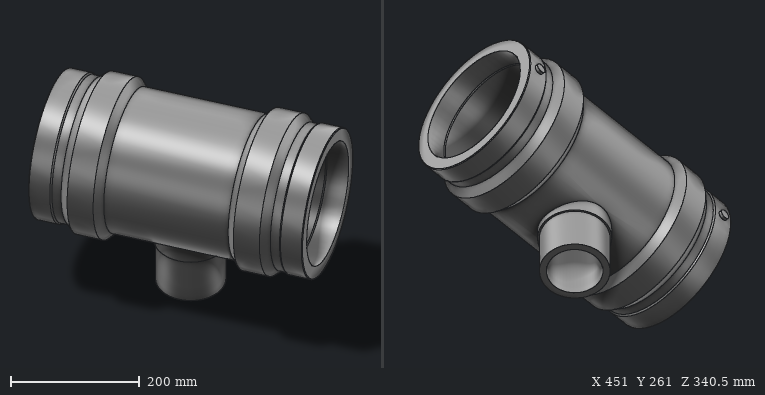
import cadquery as cq

LENGTH = 451.0
BODY_RADIUS = 235.0 / 2
PASSAGE_RADIUS = 180.0 / 2

CAP_RADIUS = 242.5 / 2
CAP_LENGTH = 35.5
CAP_CHAMFER = 1.5
NECK_RADIUS = 237.5 / 2
NECK_START = CAP_LENGTH + (CAP_RADIUS - NECK_RADIUS)
NECK_END = 53.0
COLLAR_RADIUS = 261.0 / 2
COLLAR_START = 67.0
COLLAR_END = 110.0
COLLAR_FOOT = COLLAR_END + (COLLAR_RADIUS - BODY_RADIUS)

SOCKET_RADIUS = 200.0 / 2
SOCKET_STEP = 1.0
SOCKET_STEP_LENGTH = 2.3
SOCKET_DEPTH = 114.0
SEAT_END = 124.5

HEIGHT = 340.5
BRANCH_BOTTOM = COLLAR_RADIUS - HEIGHT
BRANCH_RADIUS = 110.0 / 2
BRANCH_BORE_RADIUS = 88.0 / 2
SADDLE_RADIUS = 115.5 / 2
SADDLE_BOTTOM = -COLLAR_RADIUS

PIN_RADIUS = 8.0
PIN_TOP = 126.5
PIN_ROOT = 112.8
PIN_FROM_END = 19.5


def revolve_about_x(half_profile):
    """Mirror (distance from end, radius) points to both ends and revolve about X."""
    left = [(d - LENGTH / 2, r) for d, r in half_profile]
    right = [(-x, r) for x, r in reversed(left)]
    outline = [(-LENGTH / 2, 0), *left, *right, (LENGTH / 2, 0)]
    return cq.Workplane("XY").polyline(outline).close().revolve(360, (0, 0, 0), (1, 0, 0))


def vertical_cylinder(radius, bottom, top):
    return cq.Workplane("XY").workplane(offset=bottom).circle(radius).extrude(top - bottom)


def make_pin(x):
    """Solid terminal pin rooted inside the wall of a cap."""
    root = cq.Vector(x, PIN_ROOT, 0)
    axis = cq.Vector(0, 1, 0)
    return cq.Workplane(cq.Solid.makeCylinder(PIN_RADIUS, PIN_TOP - PIN_ROOT, root, axis))


outside = revolve_about_x([
    (0, CAP_RADIUS - CAP_CHAMFER),
    (CAP_CHAMFER, CAP_RADIUS),
    (CAP_LENGTH, CAP_RADIUS),
    (NECK_START, NECK_RADIUS),
    (NECK_END, NECK_RADIUS),
    (COLLAR_START, COLLAR_RADIUS),
    (COLLAR_END, COLLAR_RADIUS),
    (COLLAR_FOOT, BODY_RADIUS),
])

inner_socket_radius = SOCKET_RADIUS - SOCKET_STEP
passage = revolve_about_x([
    (0, SOCKET_RADIUS),
    (CAP_LENGTH, SOCKET_RADIUS),
    (CAP_LENGTH + SOCKET_STEP_LENGTH, inner_socket_radius),
    (SOCKET_DEPTH, inner_socket_radius),
    (SEAT_END, PASSAGE_RADIUS),
])

branch = vertical_cylinder(BRANCH_RADIUS, BRANCH_BOTTOM, 0)
saddle = vertical_cylinder(SADDLE_RADIUS, SADDLE_BOTTOM, 0)
branch_bore = vertical_cylinder(BRANCH_BORE_RADIUS, BRANCH_BOTTOM, 0)

result = outside.union(branch).union(saddle)
for side in (-1, 1):
    result = result.union(make_pin(side * (LENGTH / 2 - PIN_FROM_END)))
result = result.cut(passage).cut(branch_bore)